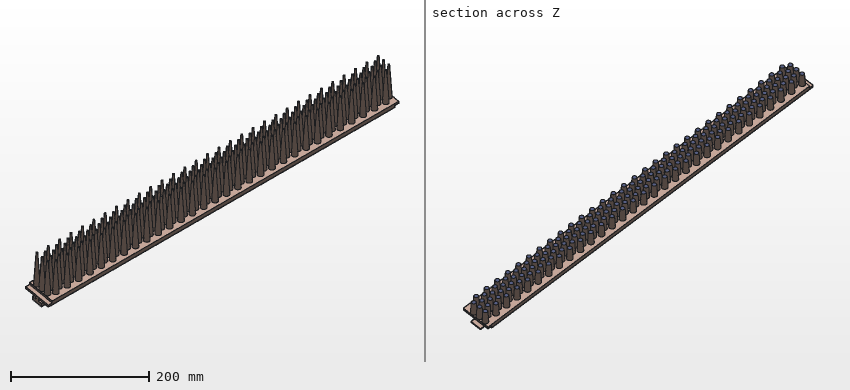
import cadquery as cq

length = 660.5
width = 51.0
height = 82.5

foot_width = 20.0
foot_height = 6.5
neck_width = 6.0
neck_height = 4.0
lip_height = 2.0

plate_height = 4.0
end_step = 7.0

row_count = 61
bristles_per_row = 3
column_pitch = 12.0
base_diameter = 10.0
tip_diameter = 2.5

front_end = -length / 2
back_end = length / 2
plate_bottom = foot_height + neck_height
plate_middle = plate_bottom + plate_height
plate_top = plate_middle + plate_height
bristle_height = height - plate_top
upper_plate_front = front_end + end_step
lower_back = back_end - end_step
row_pitch = (back_end - upper_plate_front - base_diameter) / (row_count - 1)


def bar(bar_width, y_start, y_end, z_start, z_end):
    """Rectangular bar centred on X = 0 between the given Y and Z limits."""
    return (
        cq.Workplane("XY")
        .box(bar_width, y_end - y_start, z_end - z_start, centered=(True, False, False))
        .translate((0, y_start, z_start))
    )


def bristle_centres():
    """Rows spread along the upper plate, shifted sideways in alternation."""
    middle_y = (upper_plate_front + back_end) / 2
    centres = []
    for row in range(row_count):
        y = middle_y + (row - (row_count - 1) / 2) * row_pitch
        stagger = column_pitch / 4 if row % 2 else -column_pitch / 4
        for column in range(bristles_per_row):
            x = (column - (bristles_per_row - 1) / 2) * column_pitch + stagger
            centres.append(cq.Vector(x, y, plate_top))
    return centres


def make_strip():
    """Stacked plates on the T runner, stepped at both ends."""
    upper_plate = bar(width, upper_plate_front, back_end, plate_middle, plate_top)
    lower_plate = bar(width, front_end, lower_back, plate_bottom, plate_middle)
    neck = bar(neck_width, front_end, lower_back, foot_height, plate_bottom)
    foot = bar(foot_width, front_end, lower_back, 0, foot_height)
    lip = bar(foot_width, lower_back, back_end, 0, lip_height)
    return upper_plate.union(lower_plate).union(neck).union(foot).union(lip)


def make_bristle():
    """Tapered bristle on the Z axis, revolved from its half profile."""
    profile = [
        (0, 0),
        (-base_diameter / 2, 0),
        (-tip_diameter / 2, bristle_height),
        (0, bristle_height),
    ]
    return cq.Workplane("YZ").polyline(profile).close().revolve(360, (0, 0), (0, 1)).val()


strip = make_strip().val()
bristle = make_bristle()
bristles = [bristle.translate(centre) for centre in bristle_centres()]
result = cq.Workplane(strip.fuse(*bristles))